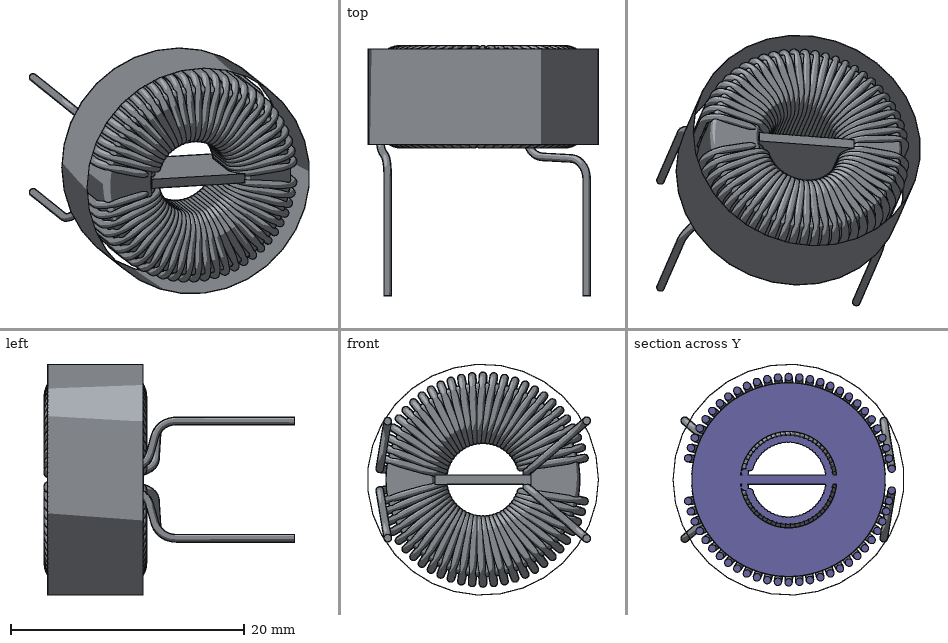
import cadquery as cq
import math

sleeve_outer_diameter = 19.81
sleeve_inner_diameter = 19.80
sleeve_length = 8.2

wire_diameter = 0.66
wire_radius = wire_diameter / 2
bend_radius = 1.8

core_outer_diameter = 16.64
core_inner_diameter = 8.24
core_edge_fillet = 0.5
core_length = 8.25

divider_thickness = 0.8
divider_length = core_inner_diameter

turn_step = 6.0
last_turn = 13
outer_leg_radius = 8.9
inner_leg_radius = 3.42
winding_half_length = 4.08

lead_end_y = -17.08
bore_leg = (3.75, 0.62)
bore_lead_end = (8.9, 5.05)
bore_lead_corners_y = (-5.08, -5.36)
rim_lead_end = (-8.17, 5.02)
rim_lead_corners_y = (-4.33, -5.46)


def leg_position(radius, turn):
    """X and Z of a leg, with turn 0 at the top and turns counted toward +X."""
    angle = math.radians(turn * turn_step)
    return radius * math.sin(angle), radius * math.cos(angle)


def outer_leg(turn):
    return leg_position(outer_leg_radius, turn)


def inner_leg(turn):
    return leg_position(inner_leg_radius, turn)


def wire_along(corners):
    """Round wire through the given corner points, with every corner bent to the bend radius."""
    points = [cq.Vector(*corner) for corner in corners]
    edges = []
    start = points[0]
    for before, corner, after in zip(points, points[1:], points[2:]):
        arriving = (corner - before).normalized()
        leaving = (after - corner).normalized()
        turn_angle = arriving.getAngle(leaving)
        setback = bend_radius * math.tan(turn_angle / 2)
        bend_start = corner - arriving * setback
        bend_end = corner + leaving * setback
        edges.append(cq.Edge.makeLine(start, bend_start))
        edges.append(cq.Edge.makeTangentArc(bend_start, arriving, bend_end))
        start = bend_end
    edges.append(cq.Edge.makeLine(start, points[-1]))
    path = cq.Wire.assembleEdges(edges)
    section = cq.Plane(origin=points[0].toTuple(), normal=(points[1] - points[0]).toTuple())
    return cq.Workplane(section).circle(wire_radius).sweep(cq.Workplane(obj=path)).val()


def half_turn(outer, inner, end_y):
    """U of wire from an outer leg to an inner leg, around one end of the core."""
    (outer_x, outer_z), (inner_x, inner_z) = outer, inner
    return wire_along([
        (outer_x, 0, outer_z),
        (outer_x, end_y, outer_z),
        (inner_x, end_y, inner_z),
        (inner_x, 0, inner_z),
    ])


def lead(leg, end, corners_y):
    """Wire from a leg, bent sideways beyond the core and then straight out along -Y."""
    (leg_x, leg_z), (end_x, end_z) = leg, end
    return wire_along([
        (leg_x, 0, leg_z),
        (leg_x, corners_y[0], leg_z),
        (end_x, corners_y[1], end_z),
        (end_x, lead_end_y, end_z),
    ])


def winding_pieces():
    """All half turns and leads of the upper winding."""
    pieces = []
    for turn in range(-last_turn, last_turn + 1):
        pieces.append(half_turn(outer_leg(turn), inner_leg(turn - 1), -winding_half_length))
        pieces.append(half_turn(outer_leg(turn - 1), inner_leg(turn - 1), winding_half_length))
    pieces.append(half_turn(outer_leg(last_turn), bore_leg, winding_half_length))
    pieces.append(lead(bore_leg, bore_lead_end, bore_lead_corners_y))
    pieces.append(lead(outer_leg(-last_turn - 1), rim_lead_end, rim_lead_corners_y))
    return pieces


def fuse_pairwise(pieces):
    """Fuse neighbouring pieces two by two until one solid is left."""
    while len(pieces) > 1:
        fused = [first.fuse(second) for first, second in zip(pieces[::2], pieces[1::2])]
        if len(pieces) % 2:
            fused.append(pieces[-1])
        pieces = fused
    return pieces[0]


def ring(outer_diameter, inner_diameter, length):
    """Ring around the Y axis, centred on the origin."""
    return (
        cq.Workplane("XZ", origin=(0, length / 2, 0))
        .circle(outer_diameter / 2)
        .circle(inner_diameter / 2)
        .extrude(length)
    )


def upper_core():
    """Upper half of the ring core, with half the thickness of the divider plate."""
    core = ring(core_outer_diameter, core_inner_diameter, core_length)
    core = core.faces("<Y or >Y").edges().fillet(core_edge_fillet)
    divider = cq.Workplane("XY").box(divider_length, core_length, divider_thickness)
    above_middle = cq.Workplane("XY").box(
        core_outer_diameter, core_length, core_outer_diameter / 2, centered=(True, True, False)
    )
    return core.union(divider).intersect(above_middle)


upper_half = fuse_pairwise(winding_pieces()).fuse(upper_core().val())
wound_core = cq.Workplane(obj=upper_half.fuse(upper_half.mirror("XY")).clean())

sleeve = ring(sleeve_outer_diameter, sleeve_inner_diameter, sleeve_length)

result = cq.Compound.makeCompound([*wound_core.solids().vals(), *sleeve.vals()])